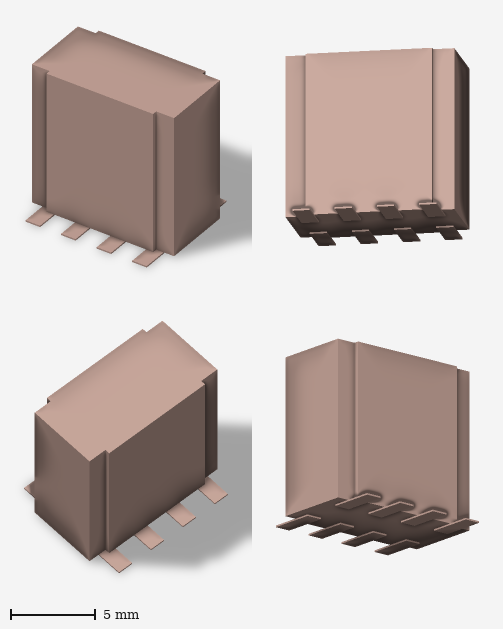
import cadquery as cq

CORE_LENGTH = 10.16
CORE_WIDTH = 4.85
BODY_HEIGHT = 9.85

WINDING_LENGTH = 7.62
WINDING_WIDTH = 5.51
WINDING_WALL = (WINDING_WIDTH - CORE_WIDTH) / 2

PIN_WIDTH = 1.04
PIN_LENGTH = 2.92
PIN_THICKNESS = 0.1
PIN_PITCH = 2.54
PINS_PER_ROW = 4
PIN_ROW_SPAN = 8.39


def block(length, width, height, bottom):
    """Box centred on the Z axis, standing on the given height."""
    return cq.Workplane("XY").workplane(offset=bottom).box(
        length, width, height, centered=(True, True, False)
    )


def make_core():
    """Full-height end flanges with a lower neck between them."""
    core = block(CORE_LENGTH, CORE_WIDTH, BODY_HEIGHT, 0)
    neck_relief = block(WINDING_LENGTH, CORE_WIDTH, WINDING_WALL, 0)
    core = core.cut(neck_relief)
    return core.cut(neck_relief.translate((0, 0, BODY_HEIGHT - WINDING_WALL)))


def make_winding():
    """Sleeve of two side walls and two webs; seams stay as edges on its flat faces."""
    sleeve = block(WINDING_LENGTH, CORE_WIDTH, WINDING_WALL, 0)
    top_web = sleeve.translate((0, 0, BODY_HEIGHT - WINDING_WALL))
    side_wall = block(WINDING_LENGTH, WINDING_WALL, BODY_HEIGHT, 0)
    wall_offset = (CORE_WIDTH + WINDING_WALL) / 2
    for side in (-1, 1):
        sleeve = sleeve.union(side_wall.translate((0, side * wall_offset, 0)), clean=False)
    return sleeve.union(top_web, clean=False)


def make_pin(x, y):
    """Flat pin whose upper face touches the underside of the body."""
    return block(PIN_WIDTH, PIN_LENGTH, PIN_THICKNESS, -PIN_THICKNESS).translate((x, y, 0))


core = make_core()
winding = make_winding()

pins = []
row_offset = (PIN_ROW_SPAN - PIN_LENGTH) / 2
for side in (-1, 1):
    for index in range(PINS_PER_ROW):
        pin_x = (index - (PINS_PER_ROW - 1) / 2) * PIN_PITCH
        pins.append(make_pin(pin_x, side * row_offset))

bodies = [core, winding, *pins]
result = cq.Compound.makeCompound([body.solids().val() for body in bodies])